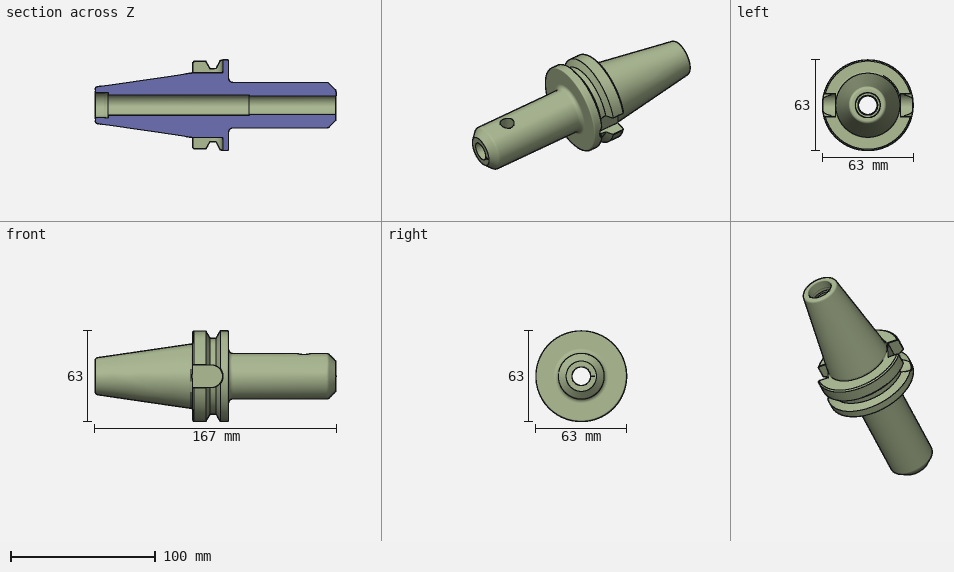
import cadquery as cq
import math

gauge_diameter = 44.45
taper_length = 65.4
taper_ratio = 7 / 24
small_end_rounding = 2.0
small_end_x = -taper_length
small_end_radius = (gauge_diameter - taper_ratio * taper_length) / 2

flange_diameter = 63.0
flange_start_x = 2.0
flange_end_x = 27.0
flange_edge_break = 1.0
flange_root_fillet = 0.9
groove_center_x = 16.2
groove_root_diameter = 53.0
groove_mouth_width = 10.0
groove_half_angle = math.radians(30)

slot_width = 15.7
slot_edge_chamfer = 0.4
slot_floor_offset = 22.5
slot_end_x = 22.8

shank_diameter = 31.75
shank_root_fillet = 3.0
projection = 101.2
nose_face_diameter = 21.0
nose_blend_radius = 2.0

tool_bore_diameter = 12.7
tool_bore_depth = 60.0
thread_bore_diameter = 13.84
pilot_bore_diameter = 17.0
pilot_bore_depth = 6.5
pilot_mouth_rounding = 0.85
relief_diameter = 17.5
relief_cone_length = 0.8
relief_length = 2.5

screw_hole_diameter = 9.73
screw_hole_x = 79.2

mark_length = 2.7
mark_width = 0.4
mark_height = 0.4
mark_center_y = 7.9


def round_circle(body, x, radius, fillet_radius):
    """Round the circular edge of the given radius at position x on the axis."""
    reach = 0.01
    near_edge = cq.selectors.BoxSelector(
        (x - reach, -radius - reach, -radius - reach),
        (x + reach, radius + reach, radius + reach),
        boundingbox=True,
    )
    circles = body.edges(near_edge)
    outer = [e for e in circles.vals() if abs(e.radius() - radius) < reach]
    return body.newObject(outer).fillet(fillet_radius)


def make_body():
    """Solid of revolution: taper, grooved flange, front shank and nose."""
    gauge_radius = gauge_diameter / 2
    flange_radius = flange_diameter / 2
    shank_radius = shank_diameter / 2
    groove_root_radius = groove_root_diameter / 2
    groove_mouth_half = groove_mouth_width / 2
    groove_slope = (flange_radius - groove_root_radius) * math.tan(groove_half_angle)
    groove_root_half = groove_mouth_half - groove_slope
    nose_depth = shank_radius - nose_face_diameter / 2

    body = (
        cq.Workplane("XZ")
        .moveTo(small_end_x, 0)
        .lineTo(small_end_x, small_end_radius)
        .lineTo(0, gauge_radius)
        .lineTo(flange_start_x, gauge_radius)
        .lineTo(flange_start_x, flange_radius - flange_edge_break)
        .lineTo(flange_start_x + flange_edge_break, flange_radius)
        .lineTo(groove_center_x - groove_mouth_half, flange_radius)
        .lineTo(groove_center_x - groove_root_half, groove_root_radius)
        .lineTo(groove_center_x + groove_root_half, groove_root_radius)
        .lineTo(groove_center_x + groove_mouth_half, flange_radius)
        .lineTo(flange_end_x, flange_radius)
        .lineTo(flange_end_x, shank_radius)
        .lineTo(projection - nose_depth, shank_radius)
        .lineTo(projection, nose_face_diameter / 2)
        .lineTo(projection, 0)
        .close()
        .revolve(360, (0, 0, 0), (1, 0, 0))
    )
    body = round_circle(body, small_end_x, small_end_radius, small_end_rounding)
    body = round_circle(body, flange_start_x, gauge_radius, flange_root_fillet)
    body = round_circle(body, flange_end_x, flange_radius, flange_edge_break)
    body = round_circle(body, flange_end_x, shank_radius, shank_root_fillet)
    return round_circle(body, projection - nose_depth, shank_radius, nose_blend_radius)


def make_slot(side):
    """Cutter for a drive slot, open to the taper side; side is +1 or -1 along Y."""
    half_width = slot_width / 2
    arc_center_x = slot_end_x - half_width
    floor = cq.Workplane("XZ", origin=(0, side * slot_floor_offset, 0))
    return (
        floor.moveTo(0, -half_width)
        .lineTo(arc_center_x, -half_width)
        .threePointArc((slot_end_x, 0), (arc_center_x, half_width))
        .lineTo(0, half_width)
        .close()
        .extrude(-side * flange_diameter / 2)
    )


def nearest_edge(body, point):
    """Edge of the body closest to a point given as (x, y, z)."""
    vertex = cq.Vertex.makeVertex(*point)
    return min(body.edges().vals(), key=vertex.distance)


def break_slot_edges(body):
    """Chamfer the slot edges along the front face and the outer cylinder of the flange."""
    half_width = slot_width / 2
    flange_radius = flange_diameter / 2
    rim_radius = flange_radius - flange_edge_break
    crest_y = math.sqrt(flange_radius**2 - half_width**2)
    rim_y = math.sqrt(rim_radius**2 - half_width**2)
    rim_end_x = flange_start_x + flange_edge_break
    crest_end_x = groove_center_x - groove_mouth_width / 2
    wall_edge_points = [
        (flange_start_x, (slot_floor_offset + rim_y) / 2),
        ((flange_start_x + rim_end_x) / 2, (rim_y + crest_y) / 2),
        ((rim_end_x + crest_end_x) / 2, crest_y),
    ]
    edges = []
    for side in (1, -1):
        edges.append(nearest_edge(body, (slot_end_x, side * flange_radius, 0)))
        for wall in (1, -1):
            for x, y in wall_edge_points:
                edges.append(nearest_edge(body, (x, side * y, wall * half_width)))
    return body.newObject(edges).chamfer(slot_edge_chamfer)


def make_bores():
    """Cutter for the stepped bore along the axis, from the small end to the nose."""
    pilot_radius = pilot_bore_diameter / 2
    relief_radius = relief_diameter / 2
    pilot_end_x = small_end_x + pilot_bore_depth
    relief_end_x = pilot_end_x + relief_length
    tool_bore_start_x = projection - tool_bore_depth
    return (
        cq.Workplane("XZ")
        .moveTo(small_end_x, 0)
        .lineTo(small_end_x, pilot_radius + pilot_mouth_rounding)
        .radiusArc((small_end_x + pilot_mouth_rounding, pilot_radius), -pilot_mouth_rounding)
        .lineTo(pilot_end_x, pilot_radius)
        .lineTo(pilot_end_x + relief_cone_length, relief_radius)
        .lineTo(relief_end_x, relief_radius)
        .lineTo(relief_end_x, thread_bore_diameter / 2)
        .lineTo(tool_bore_start_x, thread_bore_diameter / 2)
        .lineTo(tool_bore_start_x, tool_bore_diameter / 2)
        .lineTo(projection, tool_bore_diameter / 2)
        .lineTo(projection, 0)
        .close()
        .revolve(360, (0, 0, 0), (1, 0, 0))
    )


def make_screw_hole():
    """Radial hole from the top of the shank into the tool bore."""
    return (
        cq.Workplane("XY", origin=(screw_hole_x, 0, 0))
        .circle(screw_hole_diameter / 2)
        .extrude(shank_diameter)
    )


def make_index_mark():
    """Small raised bar on the nose face, pointing along Y."""
    return (
        cq.Workplane("YZ", origin=(projection, 0, 0))
        .center(mark_center_y, 0)
        .rect(mark_length, mark_width)
        .extrude(mark_height)
    )


result = make_body()
for slot_side in (1, -1):
    result = result.cut(make_slot(slot_side))
result = break_slot_edges(result)
result = result.cut(make_bores()).cut(make_screw_hole()).union(make_index_mark())